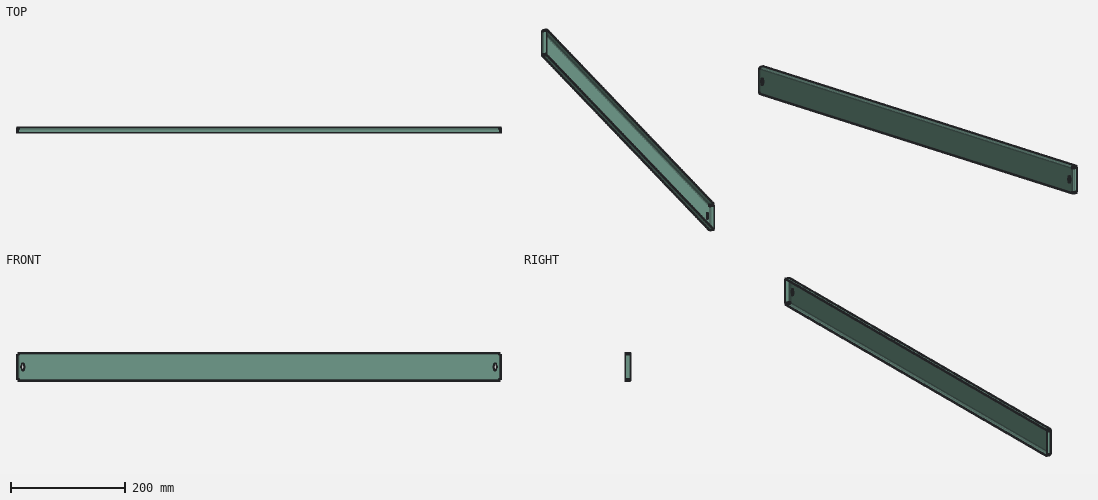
import cadquery as cq

length = 847.0
depth = 10.0
height = 50.0

sheet = 1.5
inner_bend = 1.5
outer_bend = inner_bend + sheet

corner_relief = 3.5
long_flange_relief = 2.0

slot_inset = 10.5
slot_length = 12.0
slot_width = 3.5
hole_diameter = 6.0


def channel_profile(plane, width):
    """U section of the sheet: web at +Y, two rounded bends, flanges towards -Y."""
    front = -depth / 2
    back = depth / 2
    half = width / 2
    return (
        cq.Workplane(plane)
        .moveTo(-half, front)
        .lineTo(-half, back - outer_bend)
        .radiusArc((-half + outer_bend, back), outer_bend)
        .lineTo(half - outer_bend, back)
        .radiusArc((half, back - outer_bend), outer_bend)
        .lineTo(half, front)
        .lineTo(half - sheet, front)
        .lineTo(half - sheet, back - outer_bend)
        .radiusArc((half - outer_bend, back - sheet), -inner_bend)
        .lineTo(-half + outer_bend, back - sheet)
        .radiusArc((-half + sheet, back - outer_bend), -inner_bend)
        .lineTo(-half + sheet, front)
        .close()
    )


def long_channel():
    """Web with the top and bottom flanges along X; the flanges reach beyond their bends."""
    along_x = cq.Plane((0, 0, 0), xDir=(0, 0, 1), normal=(-1, 0, 0))
    bend_run = length - 2 * corner_relief
    channel = channel_profile(along_x, height).extrude(bend_run / 2, both=True)

    flange_run = length - 2 * long_flange_relief
    flange_depth = depth - outer_bend
    for side in (-1, 1):
        flange = cq.Workplane("XY").box(flange_run, flange_depth, sheet)
        flange_z = side * (height - sheet) / 2
        channel = channel.union(flange.translate((0, -outer_bend / 2, flange_z)))
    return channel


def end_channel():
    """Web with the two end flanges, running along Z."""
    run = height - 2 * corner_relief
    return channel_profile("XY", length).extrude(run / 2, both=True)


def mounting_slots():
    """Cutters for the through slots in the web."""
    slot_x = length / 2 - slot_inset
    centres = cq.Workplane("XZ").pushPoints([(-slot_x, 0), (slot_x, 0)])
    slots = centres.slot2D(slot_length, slot_width, 90).extrude(depth, both=True)
    holes = centres.circle(hole_diameter / 2).extrude(depth, both=True)
    return slots.union(holes)


result = long_channel().union(end_channel()).cut(mounting_slots())